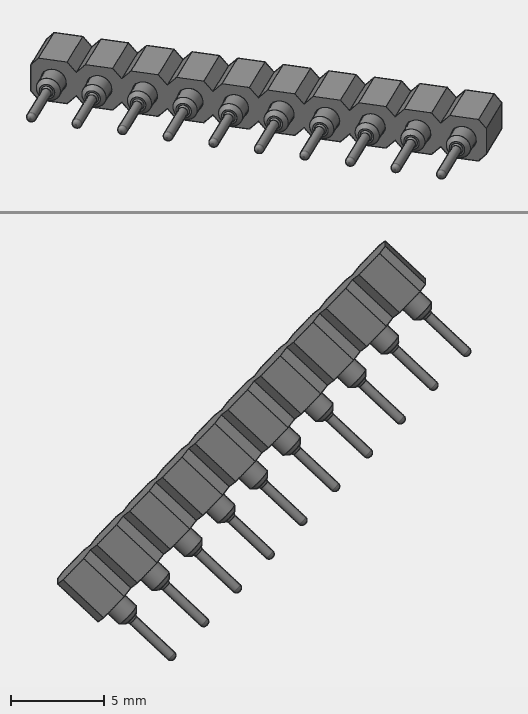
import cadquery as cq
import math

pin_count = 10
pitch = 2.54
housing_height = 2.54
housing_depth = 3.0
end_chamfer_width = 0.43
end_chamfer_height = 0.48
notch_half_width = 0.51
notch_depth = 0.55

overall_depth = 7.43
pin_length = overall_depth - housing_depth
collar_radius = 0.675
collar_length = 0.98
shoulder_radius = 0.43
shoulder_length = 0.25
shoulder_end = collar_length + shoulder_length
neck_radius = 0.33
neck_length = 0.15
neck_end = shoulder_end + neck_length
lead_radius = 0.265
tip_rounding = 0.22

clearance_radius = 0.71
clearance_depth = 0.2

housing_length = pin_count * pitch
half_length = housing_length / 2
half_height = housing_height / 2


def make_notch(x, z):
    """Diamond prism that cuts a V-notch across the housing depth into the top or bottom face at height z."""
    return (
        cq.Workplane("XZ")
        .polyline([
            (x - notch_half_width, z),
            (x, z - notch_depth),
            (x + notch_half_width, z),
            (x, z + notch_depth),
        ])
        .close()
        .extrude(-housing_depth)
    )


def make_housing():
    """Bar with chamfered ends, notched top and bottom between cells; its pin face lies at Y = 0."""
    chamfer_x = half_length - end_chamfer_width
    chamfer_z = half_height - end_chamfer_height
    housing = (
        cq.Workplane("XZ")
        .polyline([
            (-half_length, -chamfer_z),
            (-chamfer_x, -half_height),
            (chamfer_x, -half_height),
            (half_length, -chamfer_z),
            (half_length, chamfer_z),
            (chamfer_x, half_height),
            (-chamfer_x, half_height),
            (-half_length, chamfer_z),
        ])
        .close()
        .extrude(-housing_depth)
    )
    for index in range(1, pin_count):
        x = index * pitch - half_length
        for z in (-half_height, half_height):
            housing = housing.cut(make_notch(x, z))
    return housing


def make_clearance(x):
    """Round pocket in the housing face that leaves a narrow ring around the collar."""
    return (
        cq.Workplane("XZ")
        .center(x, 0)
        .circle(clearance_radius)
        .extrude(-clearance_depth)
    )


def make_pin(x):
    """Turned pin along Y: collar, conical shoulder, tapered neck and a lead with a rounded tip."""
    tip_start = pin_length - tip_rounding
    tip_flat_radius = lead_radius - tip_rounding
    arc_reach = tip_rounding * math.sin(math.pi / 4)
    arc_middle = (tip_flat_radius + arc_reach, -(tip_start + arc_reach))
    return (
        cq.Workplane("XY")
        .moveTo(0, clearance_depth)
        .lineTo(collar_radius, clearance_depth)
        .lineTo(collar_radius, -collar_length)
        .lineTo(shoulder_radius, -shoulder_end)
        .lineTo(neck_radius, -shoulder_end)
        .lineTo(lead_radius, -neck_end)
        .lineTo(lead_radius, -tip_start)
        .threePointArc(arc_middle, (tip_flat_radius, -pin_length))
        .lineTo(0, -pin_length)
        .close()
        .revolve(360, (0, 0, 0), (0, 1, 0))
        .translate((x, 0, 0))
    )


result = make_housing()
for index in range(pin_count):
    pin_x = (index + 0.5) * pitch - half_length
    result = result.cut(make_clearance(pin_x)).union(make_pin(pin_x))